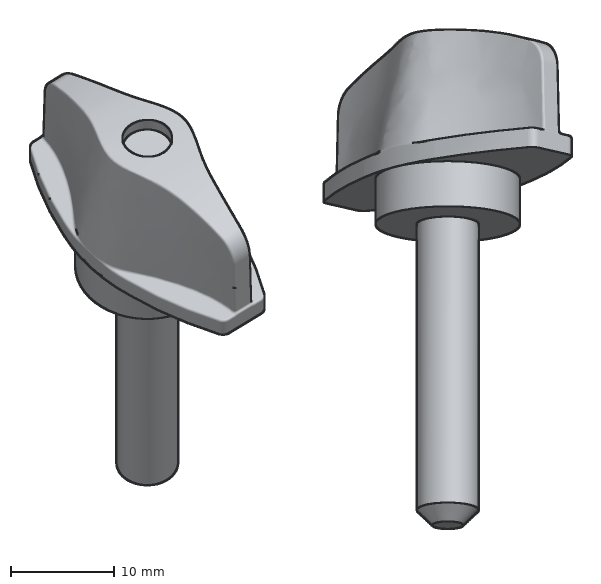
import cadquery as cq
import math

total_height = 48.5
hub_bottom = 30.05
plate_bottom = 34.6
plate_thickness = 2.0
plate_top = plate_bottom + plate_thickness

stud_diameter = 6.0
stud_chamfer = 1.5
hub_diameter = 14.0

plate_length = 30.0
plate_half_width = hub_diameter / 2
middle_arc_half_span = 5.0
middle_arc_drop = 0.65
end_corner_y = 2.55
side_arc_bulge = 0.4
plate_corner_radius = 0.95

wing_base_half_length = 14.8
wing_base_half_width = 7.0
wing_crown_half_length = 14.4
wing_crown_half_width = 4.4
wing_tip_half_width = 1.05
base_flank_points = [(2.65, 6.55), (5.0, 5.1), (9.8, 2.35)]
crown_flank_points = [(2.35, 3.9), (5.0, 2.7), (9.8, 1.55)]
crown_arc_radius = 33.45
shoulder_radius = 2.9

edge_radius = 0.25
recess_diameter = 4.8
recess_depth = 1.45


def cylinder(diameter, bottom, top):
    return cq.Workplane("XY").workplane(offset=bottom).circle(diameter / 2).extrude(top - bottom)


def make_stud():
    stud = cylinder(stud_diameter, 0, hub_bottom)
    return stud.faces("<Z").chamfer(stud_chamfer)


def plate_prism(height):
    """Plate outline with rounded corners, extruded up from the plate underside."""
    end_x = plate_length / 2
    joint_x = middle_arc_half_span
    joint_y = plate_half_width - middle_arc_drop
    side_mid_x = (joint_x + end_x) / 2
    side_mid_y = (joint_y + end_corner_y) / 2 + side_arc_bulge
    prism = (
        cq.Workplane("XY").workplane(offset=plate_bottom)
        .moveTo(end_x, -end_corner_y)
        .lineTo(end_x, end_corner_y)
        .threePointArc((side_mid_x, side_mid_y), (joint_x, joint_y))
        .threePointArc((0, plate_half_width), (-joint_x, joint_y))
        .threePointArc((-side_mid_x, side_mid_y), (-end_x, end_corner_y))
        .lineTo(-end_x, -end_corner_y)
        .threePointArc((-side_mid_x, -side_mid_y), (-joint_x, -joint_y))
        .threePointArc((0, -plate_half_width), (joint_x, -joint_y))
        .threePointArc((side_mid_x, -side_mid_y), (end_x, -end_corner_y))
        .close()
        .extrude(height)
    )
    corner_x = end_x - plate_corner_radius
    corners = prism.edges("|Z").filter(lambda edge: abs(edge.Center().x) > corner_x)
    return corners.fillet(plate_corner_radius)


def wing_section(height, half_length, half_width, flank_points):
    """Closed outline symmetric in X and Y: a smooth flank on each side, cut straight at the tips."""
    tip = (half_length, wing_tip_half_width)
    half_flank = [(0, half_width)] + flank_points + [tip]
    mirrored_half = [(-x, y) for x, y in reversed(half_flank[1:])]
    flank = mirrored_half + half_flank
    edges = []
    for side in (1, -1):
        corners = [cq.Vector(side * half_length, y, height) for y in (-tip[1], tip[1])]
        edges.append(cq.Edge.makeLine(*corners))
        edges.append(cq.Edge.makeSpline([cq.Vector(x, side * y, height) for x, y in flank]))
    return cq.Wire.assembleEdges(edges)


def make_wing():
    base = wing_section(plate_top, wing_base_half_length, wing_base_half_width, base_flank_points)
    crown = wing_section(total_height, wing_crown_half_length, wing_crown_half_width, crown_flank_points)
    blank = cq.Workplane(obj=cq.Solid.makeLoft([base, crown], True))
    crown_cylinder = (
        cq.Workplane("XZ")
        .center(0, total_height - crown_arc_radius)
        .circle(crown_arc_radius)
        .extrude(hub_diameter, both=True)
    )
    wing = blank.intersect(crown_cylinder)
    shoulders = wing.edges("|Y").filter(lambda edge: edge.Center().z > plate_top + edge_radius)
    wing = shoulders.fillet(shoulder_radius)
    flank_edges = wing.faces("%BSPLINE").edges()
    return flank_edges.filter(lambda edge: edge.Center().z > plate_top + edge_radius).fillet(edge_radius)


def lies_on_plate_top(edge):
    return math.isclose(edge.Center().z, plate_top, abs_tol=0.0005)


def make_grip():
    """Wing blended into an oversized slab, which is then trimmed to the plate outline.

    The slab leaves room for the whole foot fillet where the nose overruns the plate rim.
    """
    slab_size = 2 * plate_length
    slab_base = cq.Workplane("XY").workplane(offset=plate_bottom)
    slab = slab_base.rect(slab_size, slab_size).extrude(plate_thickness)
    grip = slab.union(make_wing())
    wing_foot = grip.edges().filter(
        lambda edge: lies_on_plate_top(edge)
        and edge.BoundingBox().xlen < plate_length
        and edge.BoundingBox().ylen < plate_length
    )
    grip = wing_foot.fillet(edge_radius)
    grip = grip.intersect(plate_prism(total_height - plate_bottom))
    side_rims = grip.edges("%CIRCLE").filter(
        lambda edge: lies_on_plate_top(edge) and abs(edge.Center().x) > middle_arc_half_span
    )
    return side_rims.fillet(edge_radius)


def cut_recess(body):
    recess = cylinder(recess_diameter, total_height - recess_depth, total_height)
    return body.cut(recess)


hub = cylinder(hub_diameter, hub_bottom, plate_bottom)
result = cut_recess(make_grip().union(hub).union(make_stud()))